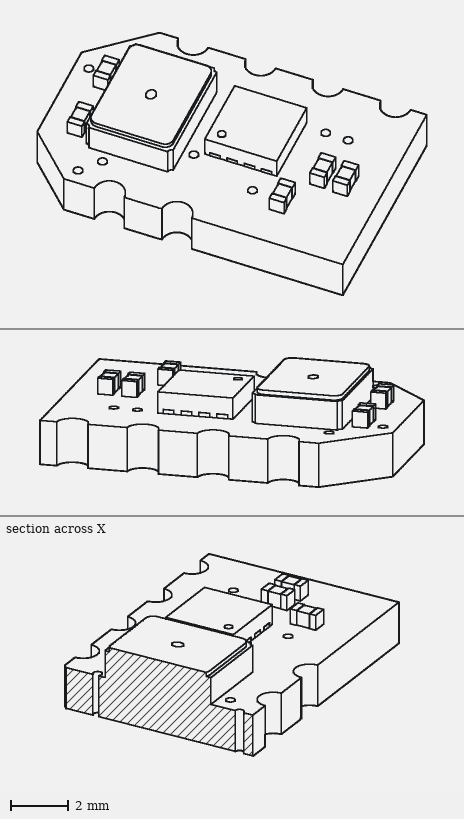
import cadquery as cq

BOARD_LENGTH = 12.25
BOARD_WIDTH = 7.65
BOARD_THICKNESS = 1.6
FRONT_CORNER = (1.72, 1.7)
REAR_CORNER = (2.15, 1.9)

NOTCH_DIAMETER = 1.13
NOTCH_FACETS = 36
NOTCH_PITCH = 2.55
FIRST_NOTCH_X = 3.43
FRONT_NOTCHES = 2
REAR_NOTCHES = 4

LEAD_IN_LENGTH = 0.11
LEAD_IN_DEPTH = 0.02

VIA_DIAMETER = 0.33
VIA_CENTERS = [
    (0.53, 5.13),
    (2.14, 6.32),
    (2.02, 0.55),
    (2.65, 1.27),
    (5.46, 2.79),
    (8.0, 2.02),
    (9.32, 5.5),
    (10.18, 5.48),
]

TOTAL_HEIGHT = 2.8
SENSOR_CENTER = (3.44, 3.82)
SENSOR_LENGTH = 3.27
SENSOR_WIDTH = 4.26
SENSOR_SCOOP_RADIUS = 0.15
LID_CENTER = (3.42, 3.83)
LID_LENGTH = 3.09
LID_WIDTH = 4.0
LID_HEIGHT = 0.16
LID_CORNER_RADIUS = 0.31
PORT_LENGTH = 0.35
PORT_WIDTH = 0.44
SENSOR_HEIGHT = TOTAL_HEIGHT - BOARD_THICKNESS
CAN_HEIGHT = SENSOR_HEIGHT - LID_HEIGHT

PACKAGE_CENTER = (7.17, 4.32)
PACKAGE_SIDE = 2.72
PACKAGE_HEIGHT = 0.77
TERMINAL_COUNT = 4
TERMINAL_PITCH = 0.65
TERMINAL_WIDTH = 0.39
TERMINAL_HEIGHT = 0.15
TERMINAL_PROJECTION = 0.006
DIMPLE_RADIUS = 0.15
DIMPLE_INSET = 0.45

COMPONENT_LENGTH = 1.03
COMPONENT_SIDE = 0.55
COMPONENT_HEIGHT = 0.58
CAP_LENGTH = 0.26
CORE_INSET = 0.018
COMPONENT_CENTERS = [
    (1.27, 4.92),
    (1.27, 2.56),
    (9.16, 1.94),
    (10.01, 3.58),
    (10.89, 3.54),
]


def block(center, length, width, height, base=BOARD_THICKNESS):
    """Upright box centred on an X, Y point and standing on the height `base`."""
    return (
        cq.Workplane("XY", origin=(center[0], center[1], base))
        .box(length, width, height, centered=(True, True, False))
    )


def make_board():
    outline = [
        (FRONT_CORNER[0], 0),
        (BOARD_LENGTH, 0),
        (BOARD_LENGTH, BOARD_WIDTH),
        (REAR_CORNER[0], BOARD_WIDTH),
        (0, BOARD_WIDTH - REAR_CORNER[1]),
        (0, FRONT_CORNER[1]),
    ]
    board = cq.Workplane("XY").polyline(outline).close().extrude(BOARD_THICKNESS)

    notch_centers = [
        (FIRST_NOTCH_X + i * NOTCH_PITCH, edge_y)
        for edge_y, count in ((0, FRONT_NOTCHES), (BOARD_WIDTH, REAR_NOTCHES))
        for i in range(count)
    ]
    notches = (
        cq.Workplane("XY")
        .pushPoints(notch_centers)
        .polygon(NOTCH_FACETS, NOTCH_DIAMETER)
        .extrude(BOARD_THICKNESS)
    )
    lip_x = FIRST_NOTCH_X + NOTCH_PITCH - NOTCH_DIAMETER / 2
    lead_in = (
        cq.Workplane("XY")
        .polyline([(lip_x - LEAD_IN_LENGTH, 0), (lip_x, 0), (lip_x, LEAD_IN_DEPTH)])
        .close()
        .extrude(BOARD_THICKNESS)
    )
    vias = (
        cq.Workplane("XY")
        .pushPoints(VIA_CENTERS)
        .circle(VIA_DIAMETER / 2)
        .extrude(BOARD_THICKNESS)
    )
    return board.cut(notches).cut(lead_in).cut(vias)


def make_sensor():
    can = block(SENSOR_CENTER, SENSOR_LENGTH, SENSOR_WIDTH, CAN_HEIGHT)
    scoops = (
        cq.Workplane("XY", origin=(*SENSOR_CENTER, BOARD_THICKNESS))
        .rect(SENSOR_LENGTH, SENSOR_WIDTH, forConstruction=True)
        .vertices()
        .circle(SENSOR_SCOOP_RADIUS)
        .extrude(CAN_HEIGHT)
    )
    lid_base = BOARD_THICKNESS + CAN_HEIGHT
    lid = (
        block(LID_CENTER, LID_LENGTH, LID_WIDTH, LID_HEIGHT, lid_base)
        .edges("|Z")
        .fillet(LID_CORNER_RADIUS)
    )
    port = (
        cq.Workplane("XY", origin=(*LID_CENTER, BOARD_THICKNESS))
        .ellipse(PORT_LENGTH / 2, PORT_WIDTH / 2)
        .extrude(SENSOR_HEIGHT)
    )
    return can.cut(scoops).union(lid).cut(port)


def make_package():
    package = block(PACKAGE_CENTER, PACKAGE_SIDE, PACKAGE_SIDE, PACKAGE_HEIGHT)
    center_x, center_y = PACKAGE_CENTER

    strip_length = PACKAGE_SIDE + 2 * TERMINAL_PROJECTION
    for i in range(TERMINAL_COUNT):
        strip_x = center_x + (i - (TERMINAL_COUNT - 1) / 2) * TERMINAL_PITCH
        strip = block((strip_x, center_y), TERMINAL_WIDTH, strip_length, TERMINAL_HEIGHT)
        package = package.union(strip)

    dimple_offset = PACKAGE_SIDE / 2 - DIMPLE_INSET
    dimple = cq.Workplane("XY").sphere(DIMPLE_RADIUS).translate(
        (center_x - dimple_offset, center_y - dimple_offset, BOARD_THICKNESS + PACKAGE_HEIGHT)
    )
    return package.cut(dimple)


def make_component(center):
    core_side = COMPONENT_SIDE - 2 * CORE_INSET
    component = block(center, core_side, COMPONENT_LENGTH, COMPONENT_HEIGHT - CORE_INSET)
    cap_offset = (COMPONENT_LENGTH - CAP_LENGTH) / 2
    for side in (-1, 1):
        cap_center = (center[0], center[1] + side * cap_offset)
        cap = block(cap_center, COMPONENT_SIDE, CAP_LENGTH, COMPONENT_HEIGHT)
        component = component.union(cap)
    return component


result = make_board().union(make_sensor()).union(make_package())
for component_center in COMPONENT_CENTERS:
    result = result.union(make_component(component_center))